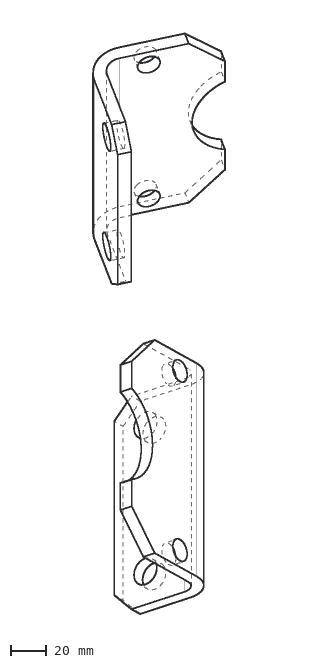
import cadquery as cq

height = 131.0
front_length = 67.0
side_length = 79.0
thickness = 8.0
outer_bend_radius = 20.0
inner_bend_radius = 10.0

front_chamfer = 12.0
front_hole_diameter = 16.0
front_hole_x = 45.0
front_hole_spacing = 90.0

side_chamfer = 21.0
side_hole_diameter = 13.0
side_hole_y = 35.0
side_hole_spacing = 110.0

notch_radius = 30.0
notch_center_y = 90.0


def bent_plate():
    """L-shaped section with a rounded bend, extruded over the height."""
    plate = (
        cq.Workplane("XY")
        .polyline([
            (0, 0),
            (front_length, 0),
            (front_length, thickness),
            (thickness, thickness),
            (thickness, side_length),
            (0, side_length),
        ])
        .close()
        .extrude(height / 2, both=True)
    )
    plate = plate.edges(cq.selectors.NearestToPointSelector((0, 0, 0))).fillet(outer_bend_radius)
    inner_corner = cq.selectors.NearestToPointSelector((thickness, thickness, 0))
    return plate.edges(inner_corner).fillet(inner_bend_radius)


def front_cutter(sketch):
    """Extrude an XZ sketch through the front flange."""
    return sketch.extrude(-thickness)


def side_cutter(sketch):
    """Extrude a YZ sketch through the side flange."""
    return sketch.extrude(thickness)


def hole_pair(plane, position, spacing, diameter):
    """Sketch two holes placed symmetrically about mid-height."""
    centers = [(position, -spacing / 2), (position, spacing / 2)]
    return cq.Workplane(plane).pushPoints(centers).circle(diameter / 2)


result = (
    bent_plate()
    .edges(">X and |Y").chamfer(front_chamfer)
    .edges(">Y and |X").chamfer(side_chamfer)
    .cut(front_cutter(hole_pair("XZ", front_hole_x, front_hole_spacing, front_hole_diameter)))
    .cut(side_cutter(hole_pair("YZ", side_hole_y, side_hole_spacing, side_hole_diameter)))
    .cut(side_cutter(cq.Workplane("YZ").center(notch_center_y, 0).circle(notch_radius)))
)